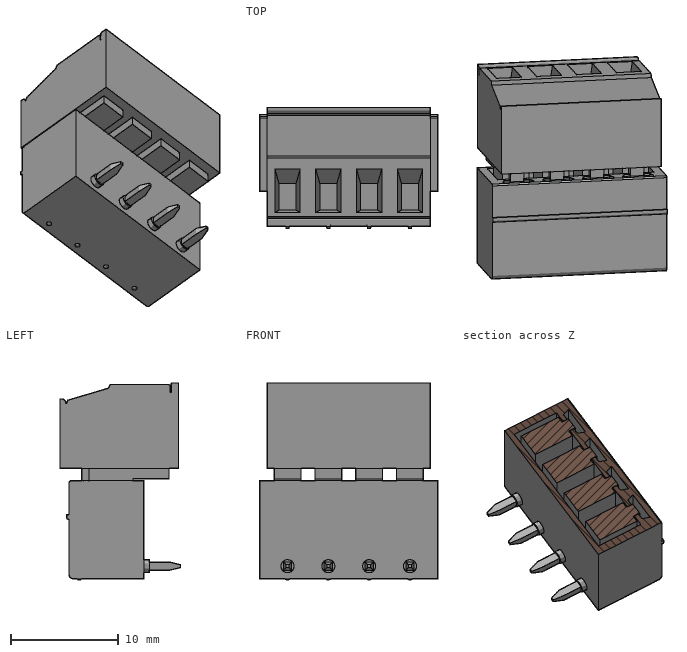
import cadquery as cq
import math

pole_count = 4
pitch = 3.8
pole_xs = [(i - (pole_count - 1) / 2) * pitch for i in range(pole_count)]

plug_width = pole_count * pitch
plug_depth = 11.1
plug_bottom_z = 10.41
plug_top_z = 18.25

front_ridge_top_z = 18.4
front_ridge_flat = 0.55
front_slot_front_y = 0.72
front_slot_back_y = 0.8
front_slot_floor_z = 17.54
slot_bevel_width = 0.15
slot_bevel_drop = 0.07
front_ridge_round = front_slot_front_y - front_ridge_flat

step_top_y = 6.38
step_foot_y = 6.51
step_foot_z = 18.01
slope_top_y = 6.57
slope_top_z = 17.9
slope_back_y = 10.35
slope_back_z = 16.78

back_ridge_top_z = 16.91
back_ridge_round = 0.42
back_ridge_flat = 0.15
back_notch_floor_y = 10.47

opening_width = 2.37
opening_front_y = 1.27
opening_back_y = 5.37
opening_floor_width = 1.6
opening_floor_front_y = 1.53
opening_floor_back_y = 4.01
opening_depth = 2.2

finger_width = 2.52
finger_back_y = 8.35
finger_shoulder_front_y = 0.9
finger_shoulder_z = 9.44
finger_front_y = 4.25
key_rib_width = 1.29
key_rib_back_y = 9.05

header_width = 16.63
header_front_y = 3.25
header_back_y = 10.25
header_bottom_z = 0.11
header_top_z = 9.27
header_bottom_fillet = 0.4
header_top_chamfer = 0.15

cavity_width = 14.9
cavity_front_y = 3.83
cavity_back_y = 8.43
cavity_floor_z = 2.4
key_pocket_front_y = 8.9
key_pocket_back_y = 9.59
key_pocket_front_width = 2.45
key_pocket_back_width = 2.96

rail_back_y = 10.45
rail_bottom_z = 5.65
rail_top_z = 6.1
rail_round = 0.17

pin_z = 1.29
collar_diameter = 1.21
collar_length = 0.52
pin_side = 0.77
pin_taper_start_y = 0.85
pin_tip_y = -0.18
pin_tip_side = 0.28
nub_y = 9.27
nub_radius = 0.24
nub_height = header_bottom_z


def box_between(x_center, width, y_range, z_range):
    """Box of the given width, spanning the Y and Z ranges."""
    depth = y_range[1] - y_range[0]
    height = z_range[1] - z_range[0]
    corner = (x_center - width / 2, y_range[0], z_range[0])
    return cq.Workplane("XY").box(width, depth, height, centered=False).translate(corner)


def arc_midpoint(center_y, center_z, radius, sign_y):
    """Middle of a quarter round that faces up and toward sign_y."""
    offset = radius * math.sqrt(0.5)
    return (center_y + sign_y * offset, center_z + offset)


def plug_block():
    """Side profile of the plug, extruded across its width."""
    front_round_z = front_ridge_top_z - front_ridge_round
    back_round_y = plug_depth - back_ridge_flat
    back_round_z = back_ridge_top_z - back_ridge_round
    front_mid = arc_midpoint(front_ridge_flat, front_round_z, front_ridge_round, 1)
    back_mid = arc_midpoint(back_round_y, back_round_z, back_ridge_round, -1)
    profile = (
        cq.Workplane("YZ")
        .moveTo(0, plug_bottom_z)
        .lineTo(0, front_ridge_top_z)
        .lineTo(front_ridge_flat, front_ridge_top_z)
        .threePointArc(front_mid, (front_slot_front_y, front_round_z))
        .lineTo(front_slot_front_y, front_slot_floor_z)
        .lineTo(front_slot_back_y, front_slot_floor_z)
        .lineTo(front_slot_back_y, plug_top_z - slot_bevel_drop)
        .lineTo(front_slot_back_y + slot_bevel_width, plug_top_z)
        .lineTo(step_top_y, plug_top_z)
        .lineTo(step_foot_y, step_foot_z)
        .lineTo(slope_top_y, slope_top_z)
        .lineTo(slope_back_y, slope_back_z)
        .lineTo(back_notch_floor_y, back_round_z)
        .lineTo(back_round_y - back_ridge_round, back_round_z)
        .threePointArc(back_mid, (back_round_y, back_ridge_top_z))
        .lineTo(plug_depth, back_ridge_top_z)
        .lineTo(plug_depth, plug_bottom_z)
        .close()
    )
    return profile.extrude(plug_width / 2, both=True)


def wire_opening(x):
    """Funnel-shaped pocket cut down from the plug top."""
    top_center_y = (opening_front_y + opening_back_y) / 2
    floor_center_y = (opening_floor_front_y + opening_floor_back_y) / 2
    return (
        cq.Workplane("XY", origin=(x, top_center_y, plug_top_z))
        .rect(opening_width, opening_back_y - opening_front_y)
        .workplane(offset=-opening_depth)
        .center(0, floor_center_y - top_center_y)
        .rect(opening_floor_width, opening_floor_back_y - opening_floor_front_y)
        .loft(ruled=True)
    )


def plug_finger(x):
    """Finger with a forward shoulder under the block and a key rib behind."""
    shoulder = box_between(
        x, finger_width, (finger_shoulder_front_y, finger_back_y), (finger_shoulder_z, plug_bottom_z)
    )
    blade = box_between(x, finger_width, (finger_front_y, finger_back_y), (cavity_floor_z, plug_bottom_z))
    key_rib = box_between(x, key_rib_width, (finger_back_y, key_rib_back_y), (cavity_floor_z, plug_bottom_z))
    return shoulder.union(blade).union(key_rib)


def make_plug():
    plug = plug_block()
    for x in pole_xs:
        plug = plug.cut(wire_opening(x)).union(plug_finger(x))
    return plug


def header_housing():
    """Outer block with a rounded lower back edge and a rail on its back."""
    housing = box_between(0, header_width, (header_front_y, header_back_y), (header_bottom_z, header_top_z))
    housing = housing.faces(">Y").edges("<Z").fillet(header_bottom_fillet)
    housing = housing.faces(">Y").edges(">Z").chamfer(header_top_chamfer)
    rail = box_between(0, header_width, (header_back_y, rail_back_y), (rail_bottom_z, rail_top_z))
    rail = rail.faces(">Y").edges("<Z").fillet(rail_round)
    return housing.union(rail)


def key_pocket(x):
    """Dovetail pocket behind the cavity, with a neck where the key rib enters."""
    neck = box_between(x, key_rib_width, (cavity_back_y, key_pocket_front_y), (cavity_floor_z, header_top_z))
    dovetail = (
        cq.Workplane("XY", origin=(x, 0, cavity_floor_z))
        .polyline([
            (-key_pocket_front_width / 2, key_pocket_front_y),
            (key_pocket_front_width / 2, key_pocket_front_y),
            (key_pocket_back_width / 2, key_pocket_back_y),
            (-key_pocket_back_width / 2, key_pocket_back_y),
        ])
        .close()
        .extrude(header_top_z - cavity_floor_z)
    )
    return neck.union(dovetail)


def solder_pin(x):
    """Round collar and a square pin with a pyramid tip, pointing toward -Y."""
    collar = (
        cq.Workplane("XZ", origin=(x, header_front_y, pin_z))
        .circle(collar_diameter / 2)
        .extrude(collar_length)
    )
    shaft = (
        cq.Workplane("XZ", origin=(x, header_front_y, pin_z))
        .rect(pin_side, pin_side)
        .extrude(header_front_y - pin_taper_start_y)
    )
    tip = (
        cq.Workplane("XZ", origin=(x, pin_taper_start_y, pin_z))
        .rect(pin_side, pin_side)
        .workplane(offset=pin_taper_start_y - pin_tip_y)
        .rect(pin_tip_side, pin_tip_side)
        .loft(ruled=True)
    )
    return collar.union(shaft).union(tip)


def bottom_nub(x):
    """Shallow spherical cap under the header."""
    sphere_radius = (nub_radius**2 + nub_height**2) / (2 * nub_height)
    sphere = cq.Workplane("XY").sphere(sphere_radius).translate((x, nub_y, sphere_radius))
    y_range = (nub_y - sphere_radius, nub_y + sphere_radius)
    cap_limit = box_between(x, 2 * sphere_radius, y_range, (0, nub_height))
    return sphere.intersect(cap_limit)


def make_header():
    header = header_housing()
    header = header.cut(
        box_between(0, cavity_width, (cavity_front_y, cavity_back_y), (cavity_floor_z, header_top_z))
    )
    for x in pole_xs:
        header = header.cut(key_pocket(x)).union(solder_pin(x)).union(bottom_nub(x))
    return header


plug = make_plug()
header = make_header()

result = cq.Compound.makeCompound([plug.val(), header.val()])